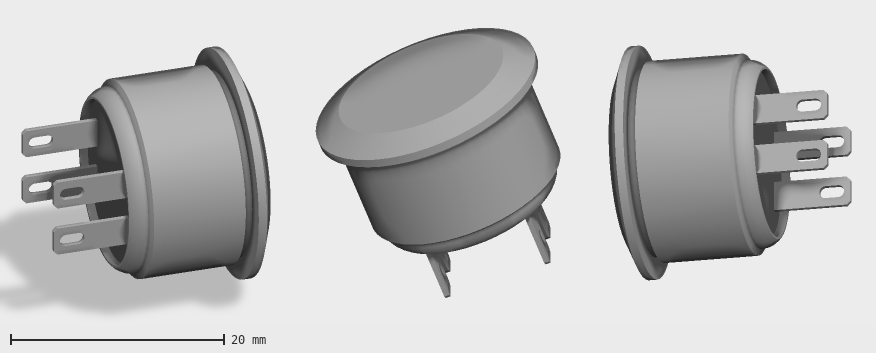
import cadquery as cq

bezel_diameter = 22.0
bezel_face_diameter = 16.5
bezel_rim_thickness = 0.81
bezel_thickness = 2.0

barrel_diameter = 19.0
neck_diameter = 17.8
neck_length = 0.81
barrel_length = 9.35
barrel_chamfer_length = 0.37
nose_length = 1.65
nose_end_diameter = 16.21

bore_diameter = 15.8
bore_depth = 7.92
base_recess = 0.81

lug_radius = 1.65
lug_center_x = 8.35

terminal_spacing_x = 10.0
terminal_spacing_z = 5.0
terminal_thickness = 0.48
terminal_width = 2.82
terminal_projection = 6.5
terminal_chamfer = 0.35
slot_length = 2.38
slot_width = 1.19
slot_tip_margin = 0.6

barrel_start_y = nose_length + barrel_chamfer_length
neck_start_y = nose_length + barrel_length
bezel_back_y = neck_start_y + neck_length
bezel_rim_y = bezel_back_y + bezel_rim_thickness
bezel_face_y = bezel_back_y + bezel_thickness


def cylinder(diameter, start_y, length):
    """Cylinder around the Y axis, from start_y towards +Y."""
    plane = cq.Workplane("XZ", origin=(0, start_y, 0))
    return plane.circle(diameter / 2).extrude(-length)


def make_lugs():
    """Two rounded lugs on opposite sides of the bore, flush with the base face."""
    centers = [(-lug_center_x, 0), (lug_center_x, 0)]
    plane = cq.Workplane("XZ", origin=(0, base_recess, 0))
    lugs = plane.pushPoints(centers).circle(lug_radius).extrude(base_recess - bore_depth)
    return lugs.intersect(cylinder(bore_diameter, base_recess, bore_depth - base_recess))


def make_housing():
    """Turned shell with bezel, neck groove, barrel and rounded nose."""
    nose_radius = neck_diameter / 2
    nose_end_radius = nose_end_diameter / 2
    nose_drop = nose_radius - nose_end_radius
    nose_round_radius = (nose_drop**2 + nose_length**2) / (2 * nose_drop)
    shell = (
        cq.Workplane("XY")
        .moveTo(0, bezel_face_y)
        .lineTo(bezel_face_diameter / 2, bezel_face_y)
        .lineTo(bezel_diameter / 2, bezel_rim_y)
        .lineTo(bezel_diameter / 2, bezel_back_y)
        .lineTo(nose_radius, bezel_back_y)
        .lineTo(nose_radius, neck_start_y)
        .lineTo(barrel_diameter / 2, neck_start_y)
        .lineTo(barrel_diameter / 2, barrel_start_y)
        .lineTo(nose_radius, nose_length)
        .radiusArc((nose_end_radius, 0), nose_round_radius)
        .lineTo(0, 0)
        .close()
        .revolve(360, (0, 0, 0), (0, 1, 0))
    )
    return shell.cut(cylinder(bore_diameter, 0, bore_depth)).union(make_lugs())


def make_terminal(x, z):
    """Flat solder tag with clipped tip corners and a slotted eyelet."""
    length = terminal_projection + base_recess
    tag = (
        cq.Workplane("XY")
        .box(terminal_thickness, length, terminal_width)
        .translate((0, base_recess - length / 2, 0))
        .faces("<Y")
        .edges("|X")
        .chamfer(terminal_chamfer)
    )
    slot_y = -terminal_projection + slot_tip_margin + slot_length / 2
    slot = (
        cq.Workplane("YZ", origin=(-terminal_thickness, slot_y, 0))
        .slot2D(slot_length, slot_width)
        .extrude(2 * terminal_thickness)
    )
    return tag.cut(slot).translate((x, 0, z))


def make_base():
    """Insert that fills the bore around the lugs and carries the four terminals."""
    base = cylinder(bore_diameter, base_recess, bore_depth - base_recess).cut(make_lugs())
    for x in (-terminal_spacing_x / 2, terminal_spacing_x / 2):
        for z in (-terminal_spacing_z / 2, terminal_spacing_z / 2):
            base = base.union(make_terminal(x, z))
    return base


housing = make_housing()
base = make_base()
result = cq.Compound.makeCompound([housing.val(), base.val()])